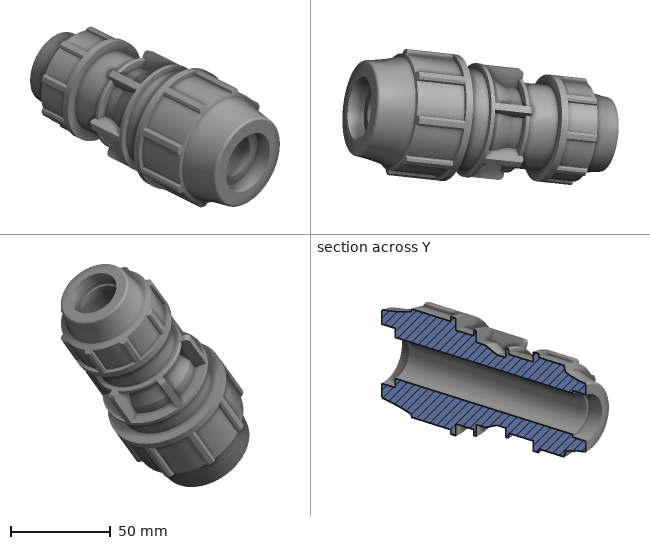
import cadquery as cq
import math


total_length = 133.0
small_pipe_dia = 25.0
large_pipe_dia = 32.0
through_dia = 22.1
socket_depth = 8.7

small_nut_length = 34.4
large_nut_start = 84.5
ring_start = 50.3
ring_end = 52.6
cone_start = 58.1
cone_end = 65.7
disc_start = 71.3
disc_end = 73.3

small_body_radius = 43.2 / 2
large_body_radius = 51.2 / 2
ring_radius = 24.3
ring_round = 0.7
neck_radius = 19.3
shoulder_radius = 22.5
disc_radius = 57.6 / 2

fin_count = 6
fin_width = 3.6
fin_corner_radius = 2.4

nut_flange_width = 3.6
rib_count = 8
rib_start_angle = 180.0 / rib_count


def revolve_profile(outline):
    """Revolve a closed (X, radius) outline about the X axis."""
    return outline.close().revolve(360, (0, 0, 0), (1, 0, 0))


def cylinder(start, end, radius):
    """Solid cylinder on the X axis between two stations."""
    return cq.Workplane("YZ", origin=(start, 0, 0)).circle(radius).extrude(end - start)


def around_axis(feature, count, start_angle):
    """Union of equally spaced copies of a feature about the X axis."""
    copies = feature.rotate((0, 0, 0), (1, 0, 0), start_angle)
    for index in range(1, count):
        angle = start_angle + index * 360.0 / count
        copies = copies.union(feature.rotate((0, 0, 0), (1, 0, 0), angle))
    return copies


def make_nut(length, flange_width, flange_radius, grip_radius, face_radius, nose_start,
             nose_radius, nose_end, nose_end_radius, nose_sag, bevel_length,
             rib_half_width, rib_chamfer):
    """Nut with its nose face at X = 0 and its flange ending at X = length.

    The nose flares along a hollow arc up to a steep bevel. Chamfered grip ribs, as
    tall as the flange, run from the bevel to the flange.
    """
    flange_start = length - flange_width
    bevel_rise = flange_radius - nose_end_radius
    grip_start = nose_end + bevel_length * (grip_radius - nose_end_radius) / bevel_rise
    nose_middle = ((nose_start + nose_end) / 2, (nose_radius + nose_end_radius) / 2 - nose_sag)
    rounding = nose_radius - face_radius
    rounding_middle = (
        nose_start * (1 - math.sqrt(0.5)),
        face_radius + rounding * math.sqrt(0.5),
    )

    body = revolve_profile(
        cq.Workplane("XY")
        .moveTo(0, 0)
        .lineTo(0, face_radius)
        .threePointArc(rounding_middle, (nose_start, nose_radius))
        .threePointArc(nose_middle, (nose_end, nose_end_radius))
        .lineTo(grip_start, grip_radius)
        .lineTo(flange_start, grip_radius)
        .lineTo(flange_start, flange_radius)
        .lineTo(length, flange_radius)
        .lineTo(length, 0)
    )

    rib_envelope = revolve_profile(
        cq.Workplane("XY")
        .moveTo(nose_end, 0)
        .lineTo(nose_end, nose_end_radius)
        .lineTo(nose_end + bevel_length, flange_radius)
        .lineTo(length, flange_radius)
        .lineTo(length, 0)
    )
    overshoot = 1.0
    bottom = grip_radius - overshoot
    rib = (
        cq.Workplane("YZ")
        .polyline([
            (bottom, -rib_half_width),
            (flange_radius - rib_chamfer, -rib_half_width),
            (flange_radius, rib_chamfer - rib_half_width),
            (flange_radius, rib_half_width - rib_chamfer),
            (flange_radius - rib_chamfer, rib_half_width),
            (bottom, rib_half_width),
        ])
        .close()
        .extrude(length - flange_width / 2)
    )
    ribs = around_axis(rib, rib_count, rib_start_angle).intersect(rib_envelope)
    return body.union(ribs)


def make_central_body():
    """Stepped body with a rounded ring, a conical shoulder and a thin disc."""
    small_body = cylinder(small_nut_length, ring_start, small_body_radius)
    ring = cylinder(ring_start, ring_end, ring_radius).edges().fillet(ring_round)
    core = revolve_profile(
        cq.Workplane("XY")
        .moveTo(ring_start, 0)
        .lineTo(ring_start, neck_radius)
        .lineTo(cone_start, neck_radius)
        .lineTo(cone_end, shoulder_radius)
        .lineTo(disc_start, shoulder_radius)
        .lineTo(disc_start, disc_radius)
        .lineTo(disc_end, disc_radius)
        .lineTo(disc_end, large_body_radius)
        .lineTo(large_nut_start, large_body_radius)
        .lineTo(large_nut_start, 0)
    )
    return core.union(small_body).union(ring)


def make_fins():
    """Radial fins from the ring to the disc, rounded at the free outer corner."""
    fin_length = disc_start - ring_start
    fin = (
        cq.Workplane("XY")
        .box(fin_length, disc_radius, fin_width, centered=(False, False, True))
        .edges("<X and >Y")
        .fillet(fin_corner_radius)
        .translate((ring_start, 0, 0))
    )
    disc_envelope = cylinder(ring_start, disc_start, disc_radius)
    return around_axis(fin, fin_count, 0).intersect(disc_envelope)


small_nut = make_nut(
    length=small_nut_length,
    flange_width=nut_flange_width,
    flange_radius=54.0 / 2,
    grip_radius=25.0,
    face_radius=17.5,
    nose_start=1.2,
    nose_radius=18.8,
    nose_end=13.3,
    nose_end_radius=21.5,
    nose_sag=0.4,
    bevel_length=1.5,
    rib_half_width=2.2,
    rib_chamfer=0.95,
)

large_nut = make_nut(
    length=total_length - large_nut_start,
    flange_width=nut_flange_width,
    flange_radius=64.0 / 2,
    grip_radius=29.6,
    face_radius=22.9,
    nose_start=1.6,
    nose_radius=24.3,
    nose_end=19.0,
    nose_end_radius=27.9,
    nose_sag=0.4,
    bevel_length=1.3,
    rib_half_width=2.5,
    rib_chamfer=1.15,
).mirror("YZ").translate((total_length, 0, 0))

coupling = make_central_body().union(make_fins()).union(small_nut).union(large_nut)

through_bore = cylinder(0, total_length, through_dia / 2)
small_socket = cylinder(0, socket_depth, small_pipe_dia / 2)
large_socket = cylinder(total_length - socket_depth, total_length, large_pipe_dia / 2)

result = coupling.cut(through_bore).cut(small_socket).cut(large_socket)